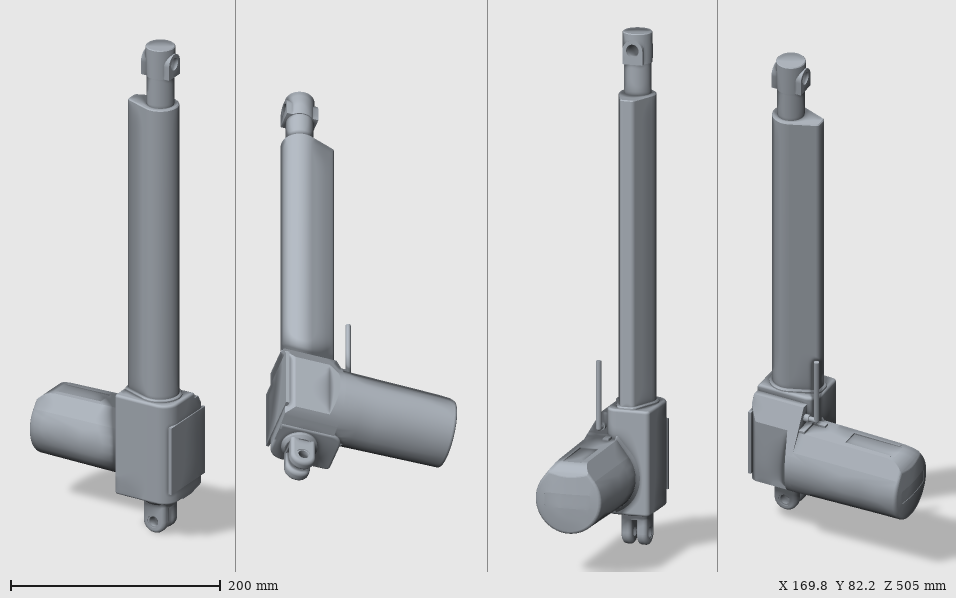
import cadquery as cq
import math


clevis_radius = 12.3
clevis_width = 26.0
clevis_slot = 5.0
clevis_slot_top = 14.0
clevis_edge_round = 3.5
pivot_hole_diameter = 10.0
pivot_land_diameter = 13.0
pivot_land_depth = 0.6
collar_radius = 17.5
collar_bottom = 18.5
collar_chamfer = 3.0

housing_left = -37.5
housing_right = 25.2
housing_front = -24.6
housing_front_left = -23.8
housing_back = 21.0
housing_bottom = 24.5
housing_top = 128.0
housing_big_round = 14.6
housing_motor_side_round = 12.0
housing_small_round = 4.0
housing_edge_round = 2.5
bulge_left = -28.0
bulge_step_outer = -22.5
bulge_step_inner = -17.0
bulge_back = 40.8
bulge_corner = 8.0
wedge_top = (28.0, 121.5)
wedge_bottom = (15.0, housing_bottom)

plate_right = 26.24
plate_inset = 2.2
plate_front = -23.0
plate_back = 39.0
plate_bottom = 37.5
plate_top = 107.0

motor_y = 22.8
motor_z = 62.0
motor_radius = 34.78
motor_left = -143.75
motor_flat_height = 37.0
motor_flat_half_width = 15.5
motor_draft = 0.9
motor_dome_radius = 160.0
motor_rim_round = 3.0
motor_shoulder_radius = 20.0
motor_flare = 3.0
motor_flare_angle = 45.0
motor_lip_left = -34.0
motor_lip_top = 101.5
motor_length = bulge_left - motor_left
motor_draft_drop = motor_length * math.tan(math.radians(motor_draft))
motor_end_flat_z = motor_z + motor_flat_height - motor_draft_drop

label_depth = 1.0
top_label_length = 53.0
top_label_width = 18.5
top_label_x = -101.3
end_label_width = 46.0
end_label_height = 14.0
end_label_depth = 0.4
end_label_reach = 6.0
end_label_round = 2.0

cable_diameter = 5.0
cable_x = -40.5
cable_y = 25.5
cable_bottom = 109.0
cable_top = 175.5
grommet_radius = 3.8
grommet_length = 5.0
tab_length = 14.0
tab_width = 6.0
tab_left = -46.5
tab_y = 16.5
tab_top = 101.0

tube_radius = 18.0
tube_nose = -33.0
tube_tangent_x = -6.5
tube_nose_round = 4.0
tube_top = 432.0
tube_top_chamfer = 1.0
tube_collar_margin = 2.8
tube_collar_height = 2.5
tube_collar_chamfer = 1.0

rod_radius = 13.2
rod_bottom = housing_top
head_radius = 14.2
head_height = 30.0
overall_height = 505.02
head_top = overall_height - clevis_radius
head_bottom = head_top - head_height
head_chamfer = 0.8
eye_drop = 16.3
eye_hole_diameter = 12.5
eye_pad_radius = 10.0
eye_pad_half_span = 15.7


def box(x_min, x_max, y_min, y_max, z_min, z_max):
    """Axis-aligned block between the given limits."""
    block = cq.Workplane("XY").box(x_max - x_min, y_max - y_min, z_max - z_min, centered=False)
    return block.translate((x_min, y_min, z_min))


def tangent_point(point, side, radius=motor_radius):
    """Point where the line from a (Y, Z) point touches a circle on the motor axis, turning by side."""
    dy = point[0] - motor_y
    dz = point[1] - motor_z
    distance = math.hypot(dy, dz)
    angle = math.atan2(dz, dy) - side * math.acos(radius / distance)
    return (motor_y + radius * math.cos(angle), motor_z + radius * math.sin(angle))


def tube_outline(margin):
    """Round tube section with tangent flats that close in on a blunt nose, grown by a margin."""
    radius = tube_radius + margin
    tangent_x = tube_tangent_x * radius / tube_radius
    tangent_y = math.sqrt(radius**2 - tangent_x**2)
    nose = tube_nose - margin
    nose_y = tangent_y + (nose - tangent_x) * -tangent_x / tangent_y
    return (
        cq.Workplane("XY")
        .moveTo(tangent_x, tangent_y)
        .threePointArc((radius, 0), (tangent_x, -tangent_y))
        .lineTo(nose, -nose_y)
        .lineTo(nose, nose_y)
        .close()
    )


def make_tube():
    tube = tube_outline(0).extrude(tube_top - housing_bottom).translate((0, 0, housing_bottom))
    tube = tube.edges("|Z and <X").fillet(tube_nose_round)
    tube = tube.faces(">Z").edges().chamfer(tube_top_chamfer)
    collar = tube_outline(tube_collar_margin).extrude(tube_collar_height)
    collar = collar.edges("|Z and <X").fillet(tube_nose_round + tube_collar_margin)
    collar = collar.faces(">Z").edges().chamfer(tube_collar_chamfer)
    return tube.union(collar.translate((0, 0, housing_top)))


def make_gear_case():
    flat_end = housing_right - housing_big_round
    case = (
        cq.Workplane("XY", origin=(0, 0, housing_bottom))
        .moveTo(housing_left, housing_back)
        .lineTo(housing_left, housing_front_left)
        .lineTo(0, housing_front)
        .lineTo(flat_end, housing_front)
        .radiusArc((housing_right, housing_front + housing_big_round), -housing_big_round)
        .lineTo(housing_right, housing_back)
        .close()
        .extrude(housing_top - housing_bottom)
    )
    case = case.edges("|Z and <X").edges("<Y").fillet(housing_small_round)
    case = case.edges("|Z").edges(">Y").edges("<X").fillet(housing_motor_side_round)
    return case.faces(">Z or <Z").edges().fillet(housing_edge_round)


def make_bulge():
    """Wedge that wraps the motor end of the case, cut back beyond the motor flange."""
    upper = tangent_point(wedge_top, 1)
    lower = tangent_point(wedge_bottom, -1)
    wedge = (
        cq.Workplane("YZ", origin=(bulge_left, 0, 0))
        .moveTo(0, wedge_top[1])
        .lineTo(*wedge_top)
        .lineTo(*upper)
        .threePointArc((motor_y + motor_radius, motor_z), lower)
        .lineTo(*wedge_bottom)
        .lineTo(0, housing_bottom)
        .close()
        .extrude(housing_right - bulge_left)
    )
    motor_back = motor_y + motor_radius
    flange_zone = (
        cq.Workplane("XY", origin=(0, 0, housing_bottom))
        .moveTo(bulge_left, 0)
        .lineTo(bulge_step_inner, 0)
        .lineTo(bulge_step_inner, bulge_back)
        .lineTo(bulge_step_outer, motor_back)
        .lineTo(bulge_left, motor_back)
        .close()
        .extrude(housing_top - housing_bottom)
    )
    gear_zone = box(bulge_left, housing_right, 0, bulge_back, housing_bottom, housing_top)
    gear_zone = gear_zone.edges("|Z and >X and >Y").chamfer(bulge_corner)
    return wedge.intersect(flange_zone.union(gear_zone))


def motor_prism(x_start, length, margin, taper):
    """Motor section, a circle with a flat-topped roof, grown by a margin and extruded toward -X."""
    radius = motor_radius + margin
    flat_z = motor_z + motor_flat_height + margin
    back_corner = (motor_y + motor_flat_half_width, flat_z)
    front_corner = (motor_y - motor_flat_half_width, flat_z)
    return (
        cq.Workplane("YZ", origin=(x_start, 0, 0))
        .moveTo(*front_corner)
        .lineTo(*back_corner)
        .lineTo(*tangent_point(back_corner, 1, radius))
        .threePointArc((motor_y, motor_z - radius), tangent_point(front_corner, -1, radius))
        .close()
        .extrude(-length, taper=taper)
    )


def motor_dome(offset):
    """Large ball whose -X side shapes the motor end, moved inward by an offset."""
    ball = cq.Workplane("XY").sphere(motor_dome_radius)
    return ball.translate((motor_left + motor_dome_radius + offset, motor_y, motor_z))


def make_motor():
    motor = motor_prism(bulge_left, motor_length, 0, motor_draft).intersect(motor_dome(0))
    r = motor_shoulder_radius
    diagonal = r * (1 - math.sqrt(0.5))
    shoulder = (
        cq.Workplane("XZ", origin=(motor_left, motor_y, motor_end_flat_z))
        .moveTo(0, -r)
        .threePointArc((diagonal, -diagonal), (r, 0))
        .lineTo(r, r)
        .lineTo(-r, r)
        .lineTo(-r, -r)
        .close()
        .extrude(motor_radius, both=True)
    )
    motor = motor.cut(shoulder)
    rim = cq.selectors.BoxSelector(
        (motor_left, motor_y - motor_radius, motor_z - motor_radius),
        (motor_left + 2 * motor_rim_round, motor_y + motor_radius, motor_end_flat_z - r / 2),
    )
    return motor.edges(rim).fillet(motor_rim_round)


def make_motor_flare():
    """Sloped foot between the motor and the flat case wall."""
    flare = motor_prism(housing_left, motor_flare, motor_flare, motor_flare_angle)
    wall_zone = box(
        housing_left - motor_flare,
        housing_left,
        housing_front,
        housing_back - housing_motor_side_round,
        housing_bottom,
        housing_top,
    )
    return flare.intersect(wall_zone)


def make_motor_lip():
    """Raised lip across the flat top where the motor meets the bulge."""
    half = motor_flat_half_width
    return box(motor_lip_left, bulge_left, motor_y - half, motor_y + half, motor_z, motor_lip_top)


def label_cuts():
    """Shallow label recesses: one in the drafted flat top, one in the domed end."""
    label_drop = motor_draft_drop * (bulge_left - top_label_x) / motor_length
    floor = motor_z + motor_flat_height - label_drop - label_depth
    top_label = cq.Workplane("XY", origin=(top_label_x, motor_y, floor))
    top_label = top_label.rect(top_label_length, top_label_width).extrude(motor_radius)
    end_label = cq.Workplane("YZ", origin=(motor_left, motor_y, motor_z))
    end_label = end_label.rect(end_label_width, end_label_height).extrude(end_label_reach)
    end_label = end_label.edges("|X").fillet(end_label_round).cut(motor_dome(end_label_depth))
    return top_label.union(end_label)


def make_cable():
    """Cable that stands upright and bends straight into the case wall."""
    radius = cable_diameter / 2
    upright = cq.Workplane("XY", origin=(cable_x, cable_y, cable_bottom)).circle(radius)
    upright = upright.extrude(cable_top - cable_bottom)
    elbow = cq.Workplane("XY").sphere(radius).translate((cable_x, cable_y, cable_bottom))
    entry = cq.Workplane("YZ", origin=(cable_x, cable_y, cable_bottom)).circle(radius)
    entry = entry.extrude(bulge_left - cable_x)
    grommet = cq.Workplane("YZ", origin=(bulge_left, cable_y, cable_bottom)).circle(grommet_radius)
    grommet = grommet.extrude(-grommet_length)
    return upright.union(elbow).union(entry).union(grommet)


def make_tab():
    half = tab_width / 2
    return box(tab_left, tab_left + tab_length, tab_y - half, tab_y + half, motor_z, tab_top)


def make_clevis():
    half = clevis_width / 2
    slot_half = clevis_slot / 2
    leg = (
        cq.Workplane("XZ")
        .moveTo(clevis_radius, collar_bottom)
        .lineTo(clevis_radius, 0)
        .threePointArc((0, -clevis_radius), (-clevis_radius, 0))
        .lineTo(-clevis_radius, collar_bottom)
        .close()
        .extrude(half - slot_half)
    )
    rims = leg.faces("<Y or >Y").edges("not >Z")
    leg = leg.newObject(rims.vals()).fillet(clevis_edge_round)
    base = box(-clevis_radius, clevis_radius, -half, half, clevis_slot_top, housing_bottom)
    clevis = base.edges("|Z").fillet(clevis_edge_round)
    for leg_face_y in (half, -slot_half):
        clevis = clevis.union(leg.translate((0, leg_face_y, 0)))
    collar = cq.Workplane("XY", origin=(0, 0, collar_bottom)).circle(collar_radius)
    collar = collar.extrude(housing_bottom + housing_edge_round - collar_bottom)
    clevis = clevis.union(collar.faces("<Z").chamfer(collar_chamfer))
    pivot = cq.Workplane("XZ").circle(pivot_hole_diameter / 2).extrude(clevis_width, both=True)
    clevis = clevis.cut(pivot)
    for face_y in (-half, half):
        land = cq.Workplane("XZ", origin=(0, face_y, 0)).circle(pivot_land_diameter / 2)
        clevis = clevis.cut(land.extrude(pivot_land_depth, both=True))
    return clevis


def make_housing():
    housing = make_gear_case().union(make_bulge()).union(make_tube())
    housing = housing.union(
        box(housing_right - plate_inset, plate_right, plate_front, plate_back, plate_bottom, plate_top)
    )
    housing = housing.union(make_motor().cut(label_cuts()))
    housing = housing.union(make_motor_flare()).union(make_motor_lip())
    housing = housing.union(make_cable()).union(make_tab()).union(make_clevis())
    bore = cq.Workplane("XY", origin=(0, 0, rod_bottom)).circle(rod_radius)
    return housing.cut(bore.extrude(tube_top - rod_bottom))


def make_piston_rod():
    rod = cq.Workplane("XY", origin=(0, 0, rod_bottom)).circle(rod_radius)
    rod = rod.extrude(head_bottom - rod_bottom)
    head = cq.Workplane("XY", origin=(0, 0, head_bottom)).circle(head_radius).extrude(head_height)
    head = head.faces(">Z").edges().chamfer(head_chamfer)
    eye_z = head_top - eye_drop
    pad = (
        cq.Workplane("YZ", origin=(-eye_pad_half_span, 0, 0))
        .moveTo(eye_pad_radius, head_bottom)
        .lineTo(eye_pad_radius, eye_z)
        .threePointArc((0, eye_z + eye_pad_radius), (-eye_pad_radius, eye_z))
        .lineTo(-eye_pad_radius, head_bottom)
        .close()
        .extrude(2 * eye_pad_half_span)
    )
    eye = cq.Workplane("YZ", origin=(0, 0, eye_z)).circle(eye_hole_diameter / 2)
    return rod.union(head).union(pad).cut(eye.extrude(eye_pad_half_span, both=True))


housing = make_housing()
piston_rod = make_piston_rod()

result = cq.Compound.makeCompound([housing.val(), piston_rod.val()])